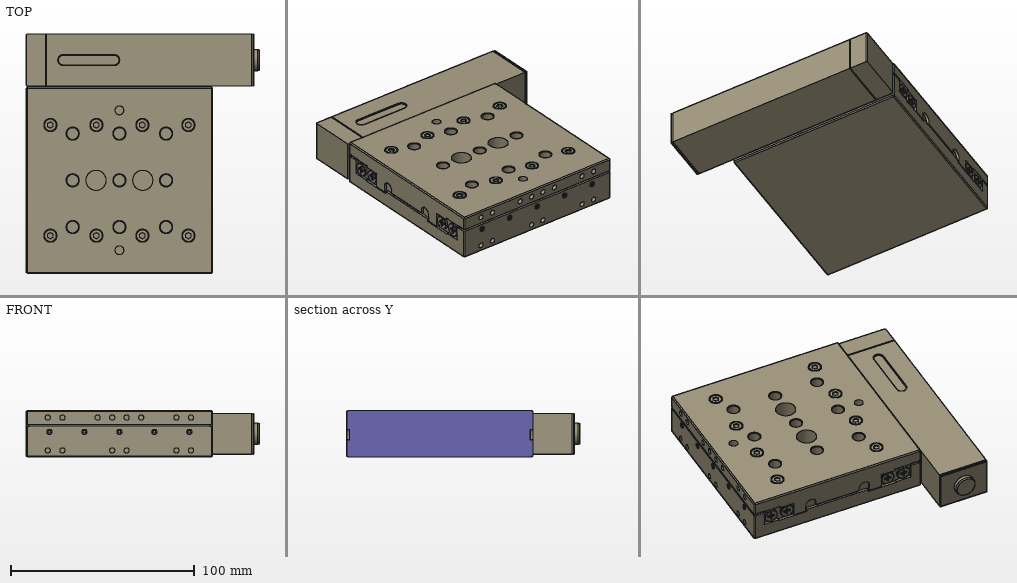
import cadquery as cq

STAGE_SIZE = 101.5
STAGE_HEIGHT = 25.5
STAGE_CHAMFER = 0.7
HALF_STAGE = STAGE_SIZE / 2

GAP_DEPTH = 1.5
GAP_TOP_Z = 17.9
GAP_BOTTOM_Z = 16.8
RAIL_OUTER_Y = 44.6
RAIL_STEP_TOP_Y = 35.1
RAIL_STEP_BOTTOM_Y = 35.7
RAIL_INNER_Y = 26.6
RAIL_BOTTOM_Z = 8.6
RAIL_RELIEF_Z = 8.1
RELIEF_INNER_Y = 18.7
CENTRE_GAP_TOP_Z = 10.6
CENTRE_GAP_BOTTOM_Z = 9.5
CHANNEL_WIDTH = 6.4
CHANNEL_OUTER_Y = 19.5
CHANNEL_TOP_Z = 15.5

RAIL_SCREW_DIAMETER = 7.6
RAIL_SCREW_CHAMFER = 0.3
RAIL_SCREW_HEIGHT = 1.3
RAIL_SCREW_Y = (30.7, 40.3)
RAIL_SCREW_Z = 12.8
CROSS_LENGTH = 3.9
CROSS_WIDTH = 0.7
CROSS_DEPTH = 0.5

TOP_PLATE_THICKNESS = STAGE_HEIGHT - GAP_TOP_Z
CENTRE_THICKNESS = STAGE_HEIGHT - CENTRE_GAP_TOP_Z
GRID_PITCH = 25.5
THREAD_DIAMETER = 6.4
THREAD_MOUTH_DIAMETER = 7.2
LARGE_HOLE_DIAMETER = 11.0
PIN_HOLE_DIAMETER = 4.8
PIN_HOLE_Y = 38.1
TOP_SCREW_COUNT = 4
TOP_SCREW_PITCH = 25.0
TOP_SCREW_Y = 30.1
TOP_SCREW_BORE = 7.2
TOP_SCREW_HEAD = 6.4
TOP_SCREW_CLEARANCE_DEPTH = 0.8
TOP_SCREW_SOCKET = 3.4
TOP_SCREW_SOCKET_DEPTH = 0.7

SIDE_HOLE_DIAMETER = 2.9
SIDE_HOLE_DEPTH = 3.9
UPPER_HOLE_X = (3.9, 11.9, 31.0, 39.0)
UPPER_HOLE_Z = 21.5
LOWER_HOLE_X = (3.9, 31.0, 39.0)
LOWER_HOLE_Z = 3.7
SET_SCREW_COUNT = 5
SET_SCREW_PITCH = 19.0
SET_SCREW_Z = 13.7
SET_SCREW_RECESS = 0.4
SET_SCREW_SOCKET = 1.6
SET_SCREW_SOCKET_DEPTH = 2.0

HOUSING_MIN_Y = 51.3
HOUSING_MAX_Y = 79.7
HOUSING_BOTTOM_Z = 1.5
HOUSING_TOP_Z = 23.7
HOUSING_END_X = 71.9
HOUSING_CHAMFER = 0.5
HOUSING_WIDTH = HOUSING_MAX_Y - HOUSING_MIN_Y
HOUSING_HEIGHT = HOUSING_TOP_Z - HOUSING_BOTTOM_Z
HOUSING_Y = (HOUSING_MIN_Y + HOUSING_MAX_Y) / 2
HOUSING_Z = (HOUSING_BOTTOM_Z + HOUSING_TOP_Z) / 2
SPACER_LENGTH = 100.5
SPACER_MARGIN = 1.0
SEAM_X = -40.2
SEAM_WIDTH = 0.4
SEAM_DEPTH = 0.3
NECK_LENGTH = 0.9
CAP_LENGTH = 0.5
CAP_CHAMFER = 0.4
WINDOW_X = -16.7
WINDOW_LENGTH = 33.8
WINDOW_WIDTH = 6.0
WINDOW_DEPTH = 0.7
WINDOW_CHAMFER = 0.4
KNOB_DIAMETER = 11.7
KNOB_END_X = 76.2
KNOB_CHAMFER_LENGTH = 0.9
KNOB_CHAMFER_RISE = 0.4
KNOB_Z = STAGE_HEIGHT / 2


def box_between(x0, x1, y0, y1, z0, z1):
    return cq.Workplane("XY").box(x1 - x0, y1 - y0, z1 - z0, centered=False).translate((x0, y0, z0))


def end_gap(x_start):
    """Gap between top plate and base, with rail pockets and arched channels, at one X end."""
    arch_radius = CHANNEL_WIDTH / 2
    arch_y = CHANNEL_OUTER_Y - arch_radius
    spring_z = CHANNEL_TOP_Z - arch_radius
    half = (
        cq.Workplane("YZ", origin=(x_start, 0, 0))
        .moveTo(0, CENTRE_GAP_BOTTOM_Z)
        .lineTo(RELIEF_INNER_Y, CENTRE_GAP_BOTTOM_Z)
        .lineTo(RELIEF_INNER_Y, RAIL_RELIEF_Z)
        .lineTo(RAIL_STEP_BOTTOM_Y, RAIL_RELIEF_Z)
        .lineTo(RAIL_STEP_BOTTOM_Y, RAIL_BOTTOM_Z)
        .lineTo(RAIL_OUTER_Y, RAIL_BOTTOM_Z)
        .lineTo(RAIL_OUTER_Y, GAP_BOTTOM_Z)
        .lineTo(HALF_STAGE, GAP_BOTTOM_Z)
        .lineTo(HALF_STAGE, GAP_TOP_Z)
        .lineTo(RAIL_STEP_TOP_Y, GAP_TOP_Z)
        .lineTo(RAIL_STEP_TOP_Y, GAP_BOTTOM_Z)
        .lineTo(RAIL_INNER_Y, GAP_BOTTOM_Z)
        .lineTo(RAIL_INNER_Y, RAIL_BOTTOM_Z)
        .lineTo(CHANNEL_OUTER_Y, RAIL_BOTTOM_Z)
        .lineTo(CHANNEL_OUTER_Y, spring_z)
        .threePointArc((arch_y, CHANNEL_TOP_Z), (arch_y - arch_radius, spring_z))
        .lineTo(arch_y - arch_radius, CENTRE_GAP_TOP_Z)
        .lineTo(0, CENTRE_GAP_TOP_Z)
        .close()
        .extrude(GAP_DEPTH)
    )
    return half.union(half.mirror("XZ"))


def rail_screws():
    """Cross-recessed screw heads standing on the floor of the gap at the -X end."""
    points = [(side * y, RAIL_SCREW_Z) for side in (-1, 1) for y in RAIL_SCREW_Y]
    floor_x = GAP_DEPTH - HALF_STAGE
    face_x = floor_x - RAIL_SCREW_HEIGHT
    heads = (
        cq.Workplane("YZ", origin=(face_x, 0, 0))
        .pushPoints(points)
        .circle(RAIL_SCREW_DIAMETER / 2)
        .extrude(RAIL_SCREW_HEIGHT)
        .faces("<X")
        .chamfer(RAIL_SCREW_CHAMFER)
    )
    for width, height in ((CROSS_LENGTH, CROSS_WIDTH), (CROSS_WIDTH, CROSS_LENGTH)):
        bars = cq.Workplane("YZ", origin=(face_x, 0, 0)).pushPoints(points).rect(width, height)
        heads = heads.cut(bars.extrude(CROSS_DEPTH))
    return heads


def stage_body():
    body = (
        cq.Workplane("XY")
        .box(STAGE_SIZE, STAGE_SIZE, STAGE_HEIGHT, centered=(True, True, False))
        .edges()
        .chamfer(STAGE_CHAMFER)
    )
    for y in (-HALF_STAGE, HALF_STAGE - GAP_DEPTH):
        body = body.cut(box_between(-HALF_STAGE, HALF_STAGE, y, y + GAP_DEPTH, GAP_BOTTOM_Z, GAP_TOP_Z))
    for x in (-HALF_STAGE, HALF_STAGE - GAP_DEPTH):
        body = body.cut(end_gap(x))
    screws = rail_screws()
    return body.union(screws).union(screws.mirror("YZ"))


def cut_top_holes(body):
    top = cq.Workplane("XY", origin=(0, 0, STAGE_HEIGHT))
    mouth_radius = THREAD_MOUTH_DIAMETER / 2
    mouth_depth = mouth_radius - THREAD_DIAMETER / 2
    threads = top.rarray(GRID_PITCH, GRID_PITCH, 3, 3)
    body = body.cut(threads.circle(THREAD_DIAMETER / 2).extrude(-CENTRE_THICKNESS))
    body = body.cut(threads.circle(mouth_radius).extrude(-mouth_depth, taper=45))
    large = top.rarray(GRID_PITCH, 1.3, 2, 1)
    body = body.cut(large.circle(LARGE_HOLE_DIAMETER / 2).extrude(-CENTRE_THICKNESS))
    pins = top.rarray(1.3, 2 * PIN_HOLE_Y, 1, 2)
    return body.cut(pins.circle(PIN_HOLE_DIAMETER / 2).extrude(-TOP_PLATE_THICKNESS))


def cut_top_screws(body):
    """Flush socket screws: a ring of clearance round each head and a hexagon socket in it.

    The local X axis runs along global Y, so each hexagon has a corner pointing along Y.
    """
    top = cq.Workplane(cq.Plane((0, 0, STAGE_HEIGHT), xDir=(0, 1, 0), normal=(0, 0, 1)))
    places = top.rarray(2 * TOP_SCREW_Y, TOP_SCREW_PITCH, 2, TOP_SCREW_COUNT)
    rings = places.circle(TOP_SCREW_BORE / 2).circle(TOP_SCREW_HEAD / 2).extrude(-TOP_SCREW_CLEARANCE_DEPTH)
    sockets = places.polygon(6, TOP_SCREW_SOCKET).extrude(-TOP_SCREW_SOCKET_DEPTH)
    return body.cut(rings).cut(sockets)


def cut_front_holes(body):
    """Rows of small holes, with a row of recessed set screws between them."""
    front = cq.Workplane("XZ", origin=(0, -HALF_STAGE, 0))
    upper = [(side * x, UPPER_HOLE_Z) for side in (-1, 1) for x in UPPER_HOLE_X]
    lower = [(side * x, LOWER_HOLE_Z) for side in (-1, 1) for x in LOWER_HOLE_X]
    middle = (SET_SCREW_COUNT - 1) / 2
    set_screws = [((i - middle) * SET_SCREW_PITCH, SET_SCREW_Z) for i in range(SET_SCREW_COUNT)]
    holes = front.pushPoints(upper + lower).circle(SIDE_HOLE_DIAMETER / 2).extrude(-SIDE_HOLE_DEPTH)
    recesses = front.pushPoints(set_screws).circle(SIDE_HOLE_DIAMETER / 2).extrude(-SET_SCREW_RECESS)
    sockets = front.pushPoints(set_screws).polygon(6, SET_SCREW_SOCKET).extrude(-SET_SCREW_SOCKET_DEPTH)
    return body.cut(holes).cut(recesses).cut(sockets)


def housing_section(x, length, inset=0.0):
    """Length of the housing cross-section, shrunk by the inset on every side."""
    return (
        cq.Workplane("YZ", origin=(x, HOUSING_Y, HOUSING_Z))
        .rect(HOUSING_WIDTH - 2 * inset, HOUSING_HEIGHT - 2 * inset)
        .extrude(length)
    )


def housing():
    block = housing_section(-HALF_STAGE, HOUSING_END_X + HALF_STAGE)
    block = block.edges("|Z and <X").chamfer(HOUSING_CHAMFER)
    seam = housing_section(SEAM_X, SEAM_WIDTH).cut(housing_section(SEAM_X, SEAM_WIDTH, SEAM_DEPTH))
    window_plane = cq.Workplane("XY", origin=(WINDOW_X, HOUSING_Y, HOUSING_TOP_Z))
    window_mouth = window_plane.slot2D(WINDOW_LENGTH, WINDOW_WIDTH).extrude(-WINDOW_CHAMFER, taper=45)
    window = window_plane.slot2D(
        WINDOW_LENGTH - 2 * WINDOW_CHAMFER,
        WINDOW_WIDTH - 2 * WINDOW_CHAMFER,
    ).extrude(-WINDOW_DEPTH)
    cap_x = HOUSING_END_X + NECK_LENGTH
    cap_end_x = cap_x + CAP_LENGTH
    neck = housing_section(HOUSING_END_X, NECK_LENGTH, SEAM_DEPTH)
    cap = housing_section(cap_x, CAP_LENGTH).faces(">X").chamfer(CAP_CHAMFER)
    knob = (
        cq.Workplane("YZ", origin=(cap_end_x, HOUSING_Y, KNOB_Z))
        .circle(KNOB_DIAMETER / 2)
        .extrude(KNOB_END_X - cap_end_x)
        .faces(">X")
        .chamfer(KNOB_CHAMFER_LENGTH, KNOB_CHAMFER_RISE)
    )
    return block.cut(seam).cut(window).cut(window_mouth).union(neck).union(cap).union(knob)


def spacer():
    """Thin plate joining the housing to the back of the stage."""
    half = SPACER_LENGTH / 2
    bottom = HOUSING_BOTTOM_Z + SPACER_MARGIN
    top = HOUSING_TOP_Z - SPACER_MARGIN
    return box_between(-half, half, HALF_STAGE - GAP_DEPTH, HOUSING_MIN_Y, bottom, top)


stage = cut_front_holes(cut_top_screws(cut_top_holes(stage_body())))
result = stage.union(spacer()).union(housing())